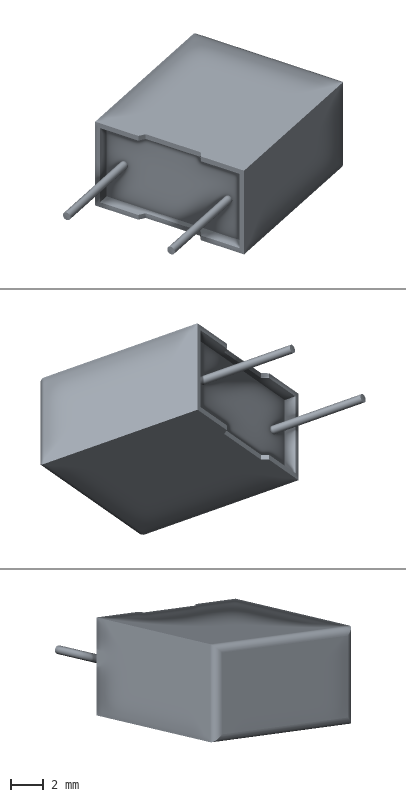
import cadquery as cq

width = 10.7
height = 6.12
case_length = 12.09
wall = 0.35
back_radius = 0.5

potting_recess = 0.8

notch_depth = 0.4
notch_mouth = 4.49
notch_floor = 3.91

total_length = 18.1
lead_diameter = 0.55
lead_pitch = 7.5

lead_tip = case_length - total_length
cavity_end = case_length - wall


def block(size_x, size_z, y_start, y_end):
    """Box centred on X and Z, running from y_start to y_end."""
    return cq.Workplane("XY").box(size_x, y_end - y_start, size_z).translate((0, (y_start + y_end) / 2, 0))


def make_notch_cutter():
    """Tapered notch running through both wide walls."""
    return (
        cq.Workplane("XY")
        .polyline([
            (-notch_mouth / 2, 0),
            (notch_mouth / 2, 0),
            (notch_floor / 2, notch_depth),
            (-notch_floor / 2, notch_depth),
        ])
        .close()
        .extrude(height / 2, both=True)
    )


def make_housing():
    """Open box with a rounded closed end and a notched rim."""
    shell = block(width, height, 0, case_length).faces(">Y").edges().fillet(back_radius)
    cavity = block(width - 2 * wall, height - 2 * wall, 0, cavity_end)
    return shell.cut(cavity).cut(make_notch_cutter())


def make_potting():
    """Block that fills the cavity behind the recess."""
    return block(width - 2 * wall, height - 2 * wall, potting_recess, cavity_end)


def make_lead(x):
    """Round wire from its tip to the face of the potting compound."""
    return (
        cq.Workplane("XZ", origin=(x, potting_recess, 0))
        .circle(lead_diameter / 2)
        .extrude(potting_recess - lead_tip)
    )


housing = make_housing()
potting = make_potting()
leads = [make_lead(side * lead_pitch / 2) for side in (-1, 1)]

result = cq.Compound.makeCompound([housing.val(), potting.val(), *[lead.val() for lead in leads]])